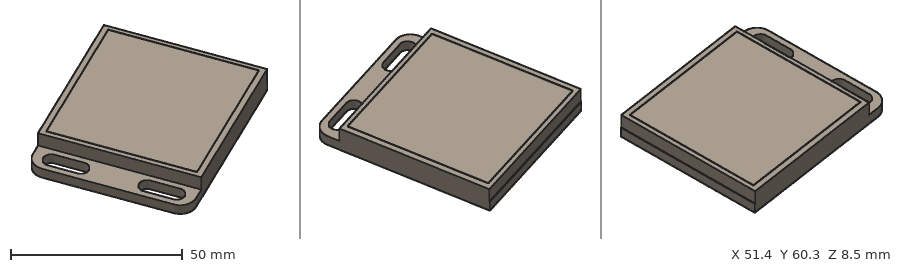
import cadquery as cq

width = 51.4
plate_length = 60.3
plate_thickness = 3.5
corner_radius = 5.0

flange_depth = 9.0
rear_ledge = 0.2
block_length = plate_length - flange_depth - rear_ledge
block_center_y = flange_depth + block_length / 2

total_height = 8.5
panel_thickness = 0.2
panel_width = 47.4
panel_length = 48.0
block_height = total_height - plate_thickness - panel_thickness

slot_length = 14.35
slot_width = 5.0
slot_spacing = 30.15
slot_center_y = 4.6


def centered_box(size_x, size_y, height, center_y, base_z):
    """Box centred on X = 0 and on center_y, standing on base_z."""
    return (
        cq.Workplane("XY", origin=(0, center_y, base_z))
        .box(size_x, size_y, height, centered=(True, True, False))
    )


plate = centered_box(width, plate_length, plate_thickness, plate_length / 2, 0)
plate = plate.edges("|Z and <Y").fillet(corner_radius)

slots = (
    cq.Workplane("XY")
    .pushPoints([(side * slot_spacing / 2, slot_center_y) for side in (-1, 1)])
    .slot2D(slot_length, slot_width)
    .extrude(plate_thickness)
)

block = centered_box(width, block_length, block_height, block_center_y, plate_thickness)
panel = centered_box(
    panel_width, panel_length, panel_thickness, block_center_y, plate_thickness + block_height
)

result = plate.cut(slots).union(block).union(panel)